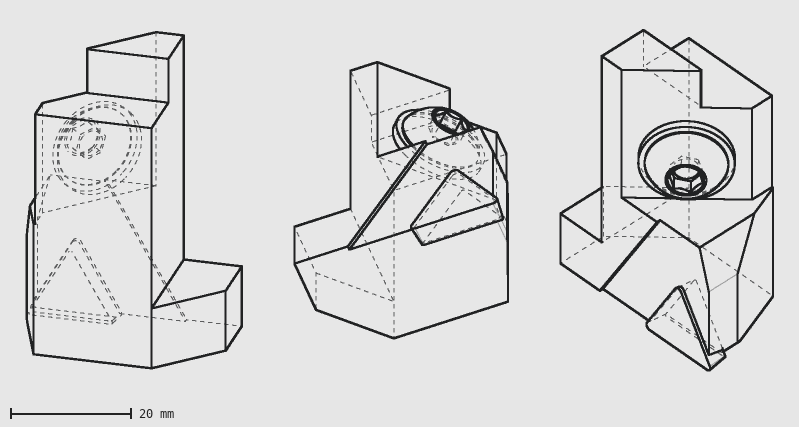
import cadquery as cq
import math


DEPTH = 19.9
HOLDER_TOP = 51.95
SHOULDER_TOP = 43.95
TONGUE_DEPTH = 9.55
TONGUE_LEFT = 12.1
COLUMN_LEFT = 6.05
COLUMN_RIGHT = 26.1
FACE_BACK_X = 21.3
NOSE_TOP = 23.85
NOSE_LEFT = 1.05
NOSE_FLAT_DEPTH = 7.25
NOSE_FRONT_X = 5.8
BEVEL_BOTTOM = 15.55
BEVEL_TOP_X = 3.3
NOSE_CORNER_RADIUS = 0.6
FOOT_RIGHT = 36.05
FOOT_HEIGHT = 10.95

INSERT_INRADIUS = 4.75
INSERT_CORNER_RADIUS = 0.8
INSERT_THICKNESS = 3.9
INSERT_OVERHANG = 1.05
RELIEF_ANGLE = 7.0
SIDE_SLOPE = math.tan(math.radians(60))
INSERT_CORNER_REACH = INSERT_INRADIUS * SIDE_SLOPE
INSERT_CENTER_X = (INSERT_INRADIUS - INSERT_CORNER_RADIUS) * SIDE_SLOPE + INSERT_CORNER_RADIUS
INSERT_CENTER_Z = INSERT_INRADIUS - INSERT_OVERHANG

RECESS_DEPTH = 0.7
RECESS_TOP_X = 12.75

SCREW_X = 13.7
SCREW_Z = 32.9
FLANGE_DIAMETER = 16.0
FLANGE_THICKNESS = 1.5
DOME_DIAMETER = 13.9
DOME_BASE = 1.75
HEAD_HEIGHT = 5.7
CROWN_DIAMETER = 6.8
SOCKET_FLATS = 5.0
SOCKET_TURN = -14.0
SOCKET_MOUTH_DIAMETER = 6.05
SOCKET_DEPTH = 2.85
DRILL_DIAMETER = 4.4
DRILL_POINT_HALF_ANGLE = 59.0


def prism(points, bottom, top):
    """Extrude an XY outline between two heights."""
    return cq.Workplane("XY").workplane(offset=bottom).polyline(points).close().extrude(top - bottom)


def make_column():
    face_left_y = COLUMN_LEFT - FACE_BACK_X
    column = prism(
        [
            (FACE_BACK_X, 0),
            (COLUMN_RIGHT, 0),
            (COLUMN_RIGHT, -DEPTH),
            (COLUMN_LEFT, -DEPTH),
            (COLUMN_LEFT, face_left_y),
        ],
        0,
        HOLDER_TOP,
    )
    step = cq.Workplane("XY").box(
        COLUMN_RIGHT, DEPTH - TONGUE_DEPTH, HOLDER_TOP - SHOULDER_TOP, centered=False
    )
    edge_trim = cq.Workplane("XY").box(TONGUE_LEFT, DEPTH, HOLDER_TOP - SHOULDER_TOP, centered=False)
    for cutter in (step, edge_trim):
        column = column.cut(cutter.translate((0, -DEPTH, SHOULDER_TOP)))
    return column


def make_nose():
    plan = prism(
        [
            (NOSE_LEFT, 0),
            (COLUMN_RIGHT, 0),
            (COLUMN_RIGHT, -DEPTH),
            (NOSE_FRONT_X, -DEPTH),
            (NOSE_LEFT, -NOSE_FLAT_DEPTH),
        ],
        0,
        NOSE_TOP,
    )
    side_outline = (
        cq.Workplane("XZ")
        .moveTo(NOSE_LEFT + NOSE_CORNER_RADIUS, 0)
        .lineTo(COLUMN_RIGHT, 0)
        .lineTo(COLUMN_RIGHT, NOSE_TOP)
        .lineTo(BEVEL_TOP_X, NOSE_TOP)
        .lineTo(NOSE_LEFT, BEVEL_BOTTOM)
        .lineTo(NOSE_LEFT, NOSE_CORNER_RADIUS)
        .radiusArc((NOSE_LEFT + NOSE_CORNER_RADIUS, 0), -NOSE_CORNER_RADIUS)
        .close()
        .extrude(DEPTH)
    )
    return plan.intersect(side_outline)


def make_foot():
    chamfer = FOOT_RIGHT - COLUMN_RIGHT
    return prism(
        [
            (COLUMN_RIGHT, 0),
            (FOOT_RIGHT, 0),
            (FOOT_RIGHT, -DEPTH + chamfer),
            (COLUMN_RIGHT, -DEPTH),
        ],
        0,
        FOOT_HEIGHT,
    )


def make_recess():
    """Shallow back recess whose right wall runs parallel to the insert side."""
    wall_bottom_x = RECESS_TOP_X + NOSE_TOP / SIDE_SLOPE
    return (
        cq.Workplane("XZ")
        .polyline([(0, 0), (wall_bottom_x, 0), (RECESS_TOP_X, NOSE_TOP), (0, NOSE_TOP)])
        .close()
        .extrude(RECESS_DEPTH)
    )


def make_screw_head():
    """Flanged button head; the screw is one with the holder."""
    flange_radius = FLANGE_DIAMETER / 2
    dome_radius = DOME_DIAMETER / 2
    crown_radius = CROWN_DIAMETER / 2
    sphere_center = (
        crown_radius**2 + HEAD_HEIGHT**2 - dome_radius**2 - DOME_BASE**2
    ) / (2 * (HEAD_HEIGHT - DOME_BASE))
    sphere_radius = math.hypot(crown_radius, HEAD_HEIGHT - sphere_center)
    head = (
        cq.Workplane("XZ")
        .lineTo(flange_radius, 0)
        .lineTo(flange_radius, FLANGE_THICKNESS)
        .lineTo(dome_radius, FLANGE_THICKNESS)
        .lineTo(dome_radius, DOME_BASE)
        .radiusArc((crown_radius, HEAD_HEIGHT), -sphere_radius)
        .lineTo(0, HEAD_HEIGHT)
        .close()
        .revolve(360, (0, 0), (0, 1))
    )
    socket_floor = HEAD_HEIGHT - SOCKET_DEPTH
    hexagon = (
        cq.Workplane("XY")
        .workplane(offset=socket_floor)
        .polygon(6, SOCKET_FLATS, circumscribed=True)
        .extrude(SOCKET_DEPTH)
        .rotate((0, 0, 0), (0, 0, 1), SOCKET_TURN)
    )
    mouth_radius = SOCKET_MOUTH_DIAMETER / 2
    countersink = cq.Workplane(
        cq.Solid.makeCone(
            0, mouth_radius, mouth_radius, cq.Vector(0, 0, HEAD_HEIGHT - mouth_radius)
        )
    )
    drill_radius = DRILL_DIAMETER / 2
    drill_point_depth = drill_radius / math.tan(math.radians(DRILL_POINT_HALF_ANGLE))
    drill_point = cq.Workplane(
        cq.Solid.makeCone(
            0, drill_radius, drill_point_depth, cq.Vector(0, 0, socket_floor - drill_point_depth)
        )
    )
    head = head.cut(hexagon).cut(countersink).cut(drill_point)
    seat = cq.Plane(
        origin=(SCREW_X, SCREW_X - FACE_BACK_X, SCREW_Z), xDir=(0, 0, 1), normal=(-1, 1, 0)
    )
    return cq.Workplane(head.val().moved(cq.Location(seat)))


def make_insert():
    back_plane = cq.Plane(
        origin=(INSERT_CENTER_X, 0, INSERT_CENTER_Z), xDir=(1, 0, 0), normal=(0, -1, 0)
    )
    outline = (
        cq.Sketch()
        .polygon(
            [
                (-INSERT_CORNER_REACH, -INSERT_INRADIUS),
                (INSERT_CORNER_REACH, -INSERT_INRADIUS),
                (0, 2 * INSERT_INRADIUS),
                (-INSERT_CORNER_REACH, -INSERT_INRADIUS),
            ]
        )
        .vertices()
        .fillet(INSERT_CORNER_RADIUS)
    )
    return cq.Workplane(back_plane).placeSketch(outline).extrude(INSERT_THICKNESS, taper=RELIEF_ANGLE)


insert = make_insert()
holder = make_column().union(make_nose()).union(make_foot())
holder = holder.cut(make_recess()).union(make_screw_head()).cut(insert)

result = cq.Compound.makeCompound([holder.val(), insert.val()])